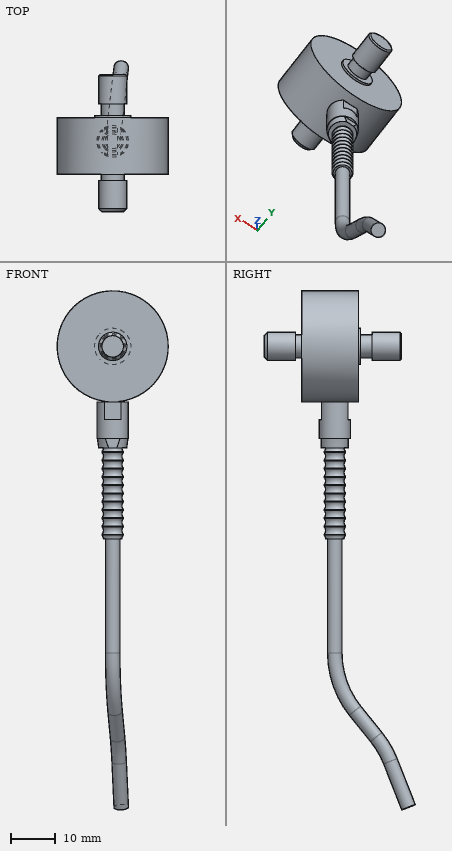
import cadquery as cq
import math

BODY_DIAMETER = 24.89
BODY_LENGTH = 12.7

STUD_DIAMETER = 6.35
NECK_DIAMETER = 5.21
FRONT_NECK_LENGTH = 1.33
FRONT_STUD_REACH = 8.4
FRONT_TIP_DIAMETER = 4.8
BACK_COLLAR_DIAMETER = 8.13
BACK_COLLAR_LENGTH = 0.5
BACK_NECK_REACH = 3.05
BACK_STUD_REACH = 9.6
BACK_TIP_DIAMETER = 5.71

CABLE_AXIS_Y = 7.4
CONNECTOR_DIAMETER = 7.06
CONNECTOR_FLATS_WIDTH = 6.0
CONNECTOR_SINK = 0.05
CONNECTOR_TOP_Z = CONNECTOR_SINK - BODY_DIAMETER / 2
FLATS_BOTTOM_Z = -16.35
CONNECTOR_BOTTOM_Z = -20.6
NUT_TOP_DIAMETER = 6.9
NUT_BOTTOM_DIAMETER = 6.35
NUT_FLATS_WIDTH = 6.1
NUT_BOTTOM_Z = -22.7

RIDGE_DIAMETER = 4.8
RIDGE_WIDTH = 0.2
GROOVE_DIAMETER = 4.2
RIDGE_COUNT = 11
SLEEVE_LENGTH = 20.32
SLEEVE_BOTTOM_Z = NUT_BOTTOM_Z - SLEEVE_LENGTH

CABLE_DIAMETER = 3.3
CABLE_END_Z = -103.635
FIRST_BEND_Z = -68.5
BEND_RADIUS = 20.65
STEEP_ANGLE = 39.0
END_ANGLE = 21.6
MIDDLE_STRAIGHT = 7.6
CABLE_PLANE_TURN = 6.6


def rod(diameter, y_start, y_end):
    """Cylinder on the Y axis between two Y positions."""
    length = y_end - y_start
    return cq.Workplane("XZ", origin=(0, y_end, 0)).circle(diameter / 2).extrude(length)


def drop(diameter, z_top, z_bottom):
    """Vertical cylinder on the cable axis between two heights."""
    plane = cq.Workplane("XY", origin=(0, CABLE_AXIS_Y, z_bottom))
    return plane.circle(diameter / 2).extrude(z_top - z_bottom)


def slab(width, z_top, z_bottom):
    """Block centred on the cable axis whose two Y faces are a pair of flats."""
    plane = cq.Workplane("XY", origin=(0, CABLE_AXIS_Y, z_bottom))
    return plane.rect(2 * CONNECTOR_DIAMETER, width).extrude(z_top - z_bottom)


def make_body_and_studs():
    front_chamfer = (STUD_DIAMETER - FRONT_TIP_DIAMETER) / 2
    back_chamfer = (STUD_DIAMETER - BACK_TIP_DIAMETER) / 2
    front_stud = rod(STUD_DIAMETER, -FRONT_STUD_REACH, -FRONT_NECK_LENGTH)
    front_stud = front_stud.faces("<Y").chamfer(front_chamfer)
    back_stud = rod(STUD_DIAMETER, BODY_LENGTH + BACK_NECK_REACH, BODY_LENGTH + BACK_STUD_REACH)
    back_stud = back_stud.faces(">Y").chamfer(back_chamfer)

    necks = rod(NECK_DIAMETER, -FRONT_NECK_LENGTH, BODY_LENGTH + BACK_NECK_REACH)
    collar = rod(BACK_COLLAR_DIAMETER, BODY_LENGTH, BODY_LENGTH + BACK_COLLAR_LENGTH)
    body = rod(BODY_DIAMETER, 0, BODY_LENGTH)
    return body.union(necks).union(collar).union(front_stud).union(back_stud)


def make_connector():
    flatted = drop(CONNECTOR_DIAMETER, CONNECTOR_TOP_Z, FLATS_BOTTOM_Z)
    flatted = flatted.intersect(slab(CONNECTOR_FLATS_WIDTH, CONNECTOR_TOP_Z, FLATS_BOTTOM_Z))
    barrel = drop(CONNECTOR_DIAMETER, FLATS_BOTTOM_Z, CONNECTOR_BOTTOM_Z)
    return flatted.union(barrel)


def make_nut():
    """Tapered clamping nut with a flat on its front and back."""
    nut = (
        cq.Workplane("XY", origin=(0, CABLE_AXIS_Y, CONNECTOR_BOTTOM_Z))
        .circle(NUT_TOP_DIAMETER / 2)
        .workplane(offset=NUT_BOTTOM_Z - CONNECTOR_BOTTOM_Z)
        .circle(NUT_BOTTOM_DIAMETER / 2)
        .loft(ruled=True)
    )
    return nut.intersect(slab(NUT_FLATS_WIDTH, CONNECTOR_BOTTOM_Z, NUT_BOTTOM_Z))


def make_strain_relief():
    """Revolved sleeve: half a scallop at each end, full scallops between the ridges."""
    pitch = SLEEVE_LENGTH / RIDGE_COUNT
    half_scallop = (pitch - RIDGE_WIDTH) / 2
    ridge = RIDGE_DIAMETER / 2
    groove = GROOVE_DIAMETER / 2
    depth = ridge - groove
    scallop_radius = (depth ** 2 + half_scallop ** 2) / (2 * depth)
    halfway = groove + scallop_radius - math.sqrt(scallop_radius ** 2 - (half_scallop / 2) ** 2)

    profile = cq.Workplane("XZ", origin=(0, CABLE_AXIS_Y, 0))
    profile = profile.moveTo(0, NUT_BOTTOM_Z).lineTo(groove, NUT_BOTTOM_Z)
    for index in range(RIDGE_COUNT):
        scallop_z = NUT_BOTTOM_Z - index * pitch
        ridge_top = scallop_z - half_scallop
        ridge_bottom = ridge_top - RIDGE_WIDTH
        next_scallop_z = ridge_bottom - half_scallop
        profile = profile.threePointArc((halfway, scallop_z - half_scallop / 2), (ridge, ridge_top))
        profile = profile.lineTo(ridge, ridge_bottom)
        profile = profile.threePointArc((halfway, ridge_bottom - half_scallop / 2), (groove, next_scallop_z))
    profile = profile.lineTo(0, SLEEVE_BOTTOM_Z).close()
    return profile.revolve(360, (0, 0), (0, 1))


def make_cable():
    """Round cable swept along a path of tangent lines and arcs in one vertical plane."""

    def arc_step(start_angle, end_angle):
        """Outward and vertical travel along a bend between two leans from the vertical."""
        start = math.radians(start_angle)
        end = math.radians(end_angle)
        outward = BEND_RADIUS * abs(math.cos(start) - math.cos(end))
        downward = BEND_RADIUS * abs(math.sin(start) - math.sin(end))
        return cq.Vector(outward, -downward)

    def straight_step(angle, length):
        """Outward and vertical travel along a straight stretch."""
        lean = math.radians(angle)
        return cq.Vector(length * math.sin(lean), -length * math.cos(lean))

    middle_of_second = (STEEP_ANGLE + END_ANGLE) / 2
    bend_start = cq.Vector(0, FIRST_BEND_Z)
    first_middle = bend_start + arc_step(0, STEEP_ANGLE / 2)
    first_end = bend_start + arc_step(0, STEEP_ANGLE)
    second_start = first_end + straight_step(STEEP_ANGLE, MIDDLE_STRAIGHT)
    second_middle = second_start + arc_step(STEEP_ANGLE, middle_of_second)
    second_end = second_start + arc_step(STEEP_ANGLE, END_ANGLE)

    end_lean = math.radians(END_ANGLE)
    end_centre_z = CABLE_END_Z + CABLE_DIAMETER / 2 * math.sin(end_lean)
    last_length = (second_end.y - end_centre_z) / math.cos(end_lean)
    cable_end = second_end + straight_step(END_ANGLE, last_length)

    turn = math.radians(CABLE_PLANE_TURN)
    bend_plane = cq.Plane(
        origin=(0, CABLE_AXIS_Y, 0),
        xDir=(math.sin(turn), math.cos(turn), 0),
        normal=(math.cos(turn), -math.sin(turn), 0),
    )
    path = (
        cq.Workplane(bend_plane)
        .moveTo(0, SLEEVE_BOTTOM_Z)
        .lineTo(bend_start.x, bend_start.y)
        .threePointArc(first_middle.toTuple()[:2], first_end.toTuple()[:2])
        .lineTo(second_start.x, second_start.y)
        .threePointArc(second_middle.toTuple()[:2], second_end.toTuple()[:2])
        .lineTo(cable_end.x, cable_end.y)
    )
    section = cq.Workplane("XY", origin=(0, CABLE_AXIS_Y, SLEEVE_BOTTOM_Z)).circle(CABLE_DIAMETER / 2)
    return section.sweep(path)


result = (
    make_body_and_studs()
    .union(make_connector())
    .union(make_nut())
    .union(make_strain_relief())
    .union(make_cable())
)